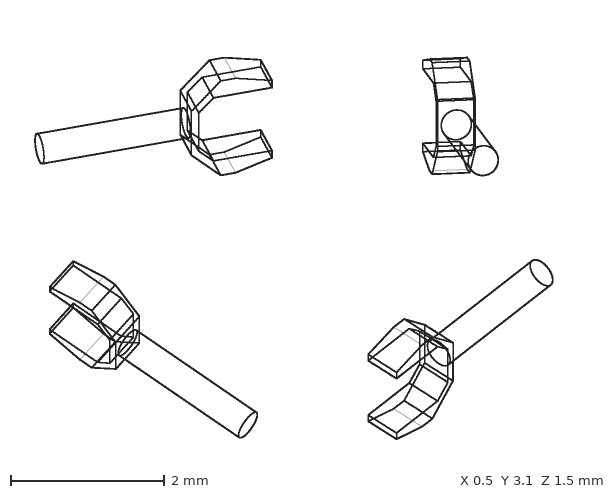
import cadquery as cq

total_length = 3.1
fork_width = 0.5
fork_height = 1.5
pin_diameter = 0.4
pin_length = 2.0

web_thickness = 0.1
web_outer_half = 0.35
web_inner_half = 0.305
jaw_half_gap = 0.5
tip_outer_half = 0.615
inner_corner_depth = 0.2
outer_corner_depth = fork_height / 2 - web_outer_half
arm_flat_length = 0.2

web_outer_y = pin_length
web_inner_y = web_outer_y + web_thickness
jaw_start_y = web_inner_y + inner_corner_depth
flat_start_y = web_outer_y + outer_corner_depth
flat_end_y = flat_start_y + arm_flat_length
tip_y = total_length


def make_fork():
    """Two-armed fork, extruded symmetrically about the YZ plane."""
    upper_half = [
        (web_outer_y, web_outer_half),
        (flat_start_y, fork_height / 2),
        (flat_end_y, fork_height / 2),
        (tip_y, tip_outer_half),
        (tip_y, jaw_half_gap),
        (jaw_start_y, jaw_half_gap),
        (web_inner_y, web_inner_half),
    ]
    lower_half = [(y, -z) for y, z in reversed(upper_half)]
    outline = cq.Workplane("YZ").polyline(upper_half + lower_half).close()
    return outline.extrude(fork_width / 2, both=True)


def make_pin():
    """Round pin from Y = 0, ending inside the web so that the two fuse."""
    pin_end_y = web_outer_y + web_thickness / 2
    return cq.Workplane("XZ").circle(pin_diameter / 2).extrude(-pin_end_y)


result = make_fork().union(make_pin())